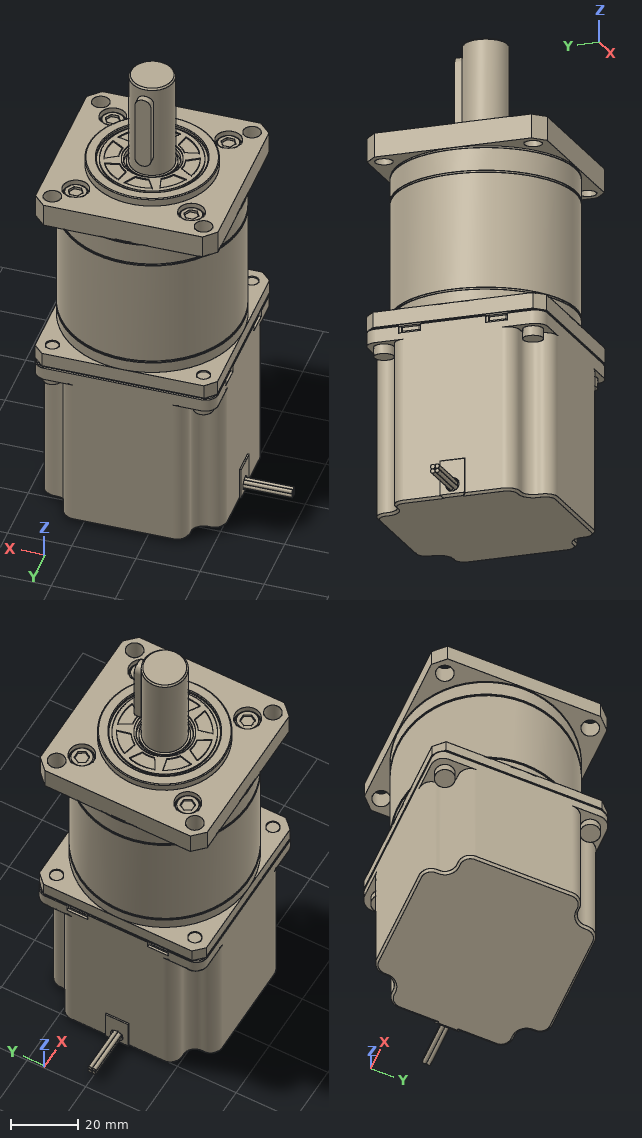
import cadquery as cq
import math

WIDTH = 57.0
HALF = WIDTH / 2
TOTAL_HEIGHT = 151.65
EPS = 0.2

MOTOR_COVER_TOP = 11.5
MOTOR_FLANGE_BOTTOM = 51.5
MOTOR_FLANGE_TOP = 56.0
ADAPTER_BOTTOM = 56.3
ADAPTER_TOP = 61.2
LOWER_RING_TOP = 65.1
UPPER_RING_BOTTOM = 101.95
FRONT_FLANGE_BOTTOM = 110.0
FRONT_FLANGE_TOP = 117.6
PILOT_TOP = 120.3

MOTOR_HOLE_OFFSET = 23.57
MOTOR_CORNER_RADIUS = 4.0
MOTOR_FACE_HALF = 15.7
MOTOR_EDGE_CHAMFER = 0.75
MOTOR_FLANGE_CHAMFER = 0.3
BOLT_HEAD_DIAMETER = 6.2
BOLT_HEAD_HEIGHT = 3.0
WINDOW_OFFSET = 13.75
WINDOW_WIDTH = 7.0
WINDOW_HEIGHT = 2.4
WINDOW_DEPTH = 0.8
WINDOW_RIM = 0.7

CABLE_TIP_X = -44.0
CABLE_Z = 3.65
CABLE_PAD_WIDTH = 7.8
CABLE_PAD_THICKNESS = 0.5
CABLE_HOLE_DIAMETER = 4.2
CABLE_HOLE_DEPTH = 1.0
WIRE_DIAMETER = 1.4
WIRE_OFFSET = 0.68

SEAM_HEIGHT = 0.6
SEAM_DEPTH = 0.2
SPACER_INSET = 0.3
ADAPTER_CORNER = 3.2
BOLT_TIP_DIAMETER = 4.2
BOLT_TIP_RECESS = 0.5
FRONT_CORNER = 3.7
MOUNT_HOLE_DIAMETER = 5.5
SCREW_OFFSET = 18.05
SCREW_BORE_DIAMETER = 8.2
SCREW_BORE_DEPTH = 2.0
SCREW_HEAD_DIAMETER = 7.4
SCREW_HEAD_CHAMFER = 0.4
SCREW_HEAD_HEIGHT = 1.0
SOCKET_SIDES = 6
SOCKET_ACROSS_CORNERS = 4.6
SOCKET_DEPTH = 0.8

PILOT_RADIUS = 20.0
PILOT_CHAMFER = 0.3
COVER_SEAT_RADIUS = 16.6
COVER_RADIUS = 15.7
COVER_GROOVE_DEPTH = 1.0
COVER_RECESS = 0.4
COVER_SEAT_CHAMFER = 0.3
POCKET_COUNT = 8
POCKET_OUTER_RADIUS = 14.3
POCKET_INNER_RADIUS = 10.0
POCKET_OUTER_ANGLE = 18.0
POCKET_INNER_ANGLE = 12.0
POCKET_DEPTH = 0.4
HUB_LEDGE_RADIUS = 9.2
HUB_LEDGE_DEPTH = 0.4
HUB_WELL_RADIUS = 8.5
HUB_WELL_DEPTH = 2.0
HUB_LIP_RADIUS = 7.7
HUB_LIP_HEIGHT = 1.0

SHAFT_RADIUS = 7.0
SHAFT_CHAMFER = 0.5
KEY_WIDTH = 5.0
KEY_LENGTH = 25.0
KEY_TOP = 148.7
KEY_CREST = 9.0
KEY_DEPTH = 5.0


def disc(radius, bottom, top):
    return cq.Workplane("XY").workplane(offset=bottom).circle(radius).extrude(top - bottom)


def square_plate(bottom, top, width=WIDTH):
    return cq.Workplane("XY").workplane(offset=bottom).rect(width, width).extrude(top - bottom)


def ring_cutter(outer, inner, bottom, top):
    return disc(outer, bottom, top).cut(disc(inner, bottom, top))


def at_corners(offset, shape):
    """Place a copy of shape at the four corners of a square centred on the axis."""
    group = None
    for sx in (-1, 1):
        for sy in (-1, 1):
            copy = shape.translate((sx * offset, sy * offset, 0))
            group = copy if group is None else group.union(copy)
    return group


def motor_section(height):
    """Square column whose corners have a concave bolt channel between two round ribs."""
    rib = MOTOR_CORNER_RADIUS
    rib_end = MOTOR_FACE_HALF + rib
    shoulder = HALF - rib
    channel = MOTOR_HOLE_OFFSET - rib_end
    diagonal = math.sqrt(0.5)
    rib_bulge = rib * diagonal
    channel_mid = MOTOR_HOLE_OFFSET - channel * diagonal
    quarter = (
        cq.Workplane("XY").moveTo(0, 0).lineTo(HALF, 0).lineTo(HALF, MOTOR_FACE_HALF)
        .threePointArc((shoulder + rib_bulge, MOTOR_FACE_HALF + rib_bulge), (shoulder, rib_end))
        .lineTo(MOTOR_HOLE_OFFSET, rib_end)
        .threePointArc((channel_mid, channel_mid), (rib_end, MOTOR_HOLE_OFFSET))
        .lineTo(rib_end, shoulder)
        .threePointArc((MOTOR_FACE_HALF + rib_bulge, shoulder + rib_bulge), (MOTOR_FACE_HALF, HALF))
        .lineTo(0, HALF).close().extrude(height)
    )
    column = quarter
    for turn in (90, 180, 270):
        column = column.union(quarter.rotate((0, 0, 0), (0, 0, 1), turn))
    return column.clean()


def make_motor():
    column = motor_section(MOTOR_FLANGE_BOTTOM + EPS)
    pad = cq.Workplane("XY").box(
        HALF + CABLE_PAD_THICKNESS, CABLE_PAD_WIDTH, MOTOR_COVER_TOP, centered=(False, True, False)
    ).translate((-HALF - CABLE_PAD_THICKNESS, 0, 0))
    column = column.union(pad).faces("<Z").edges().chamfer(MOTOR_EDGE_CHAMFER)
    flange = square_plate(MOTOR_FLANGE_BOTTOM, MOTOR_FLANGE_TOP).edges("|Z").fillet(MOTOR_CORNER_RADIUS)
    flange = flange.faces(">Z").edges().chamfer(MOTOR_FLANGE_CHAMFER)
    head = disc(BOLT_HEAD_DIAMETER / 2, MOTOR_FLANGE_BOTTOM - BOLT_HEAD_HEIGHT, MOTOR_FLANGE_BOTTOM + EPS)
    motor = column.union(flange).union(at_corners(MOTOR_HOLE_OFFSET, head))
    for side in (-1, 1):
        motor = cut_window(motor, side * WINDOW_OFFSET)
    return motor


def cut_window(motor, y):
    """Shallow notch in the flange's -X edge with a deeper, narrower notch inside it."""
    for inset, depth in ((0, WINDOW_DEPTH), (WINDOW_RIM, 2 * WINDOW_DEPTH)):
        notch = cq.Workplane("XY").box(
            depth, WINDOW_WIDTH - 2 * inset, WINDOW_HEIGHT - inset, centered=(False, True, False)
        ).translate((-HALF, y, MOTOR_FLANGE_TOP - WINDOW_HEIGHT + inset))
        motor = motor.cut(notch)
    return motor


def add_cable(motor):
    """Four parallel wires leaving a round hole in the cable pad."""
    pad_x = -HALF - CABLE_PAD_THICKNESS
    hole_bottom_x = pad_x + CABLE_HOLE_DEPTH
    hole = (
        cq.Workplane("YZ").workplane(offset=pad_x).center(0, CABLE_Z)
        .circle(CABLE_HOLE_DIAMETER / 2).extrude(CABLE_HOLE_DEPTH)
    )
    motor = motor.cut(hole)
    for sy in (-1, 1):
        for sz in (-1, 1):
            wire = (
                cq.Workplane("YZ").workplane(offset=CABLE_TIP_X)
                .center(sy * WIRE_OFFSET, CABLE_Z + sz * WIRE_OFFSET)
                .circle(WIRE_DIAMETER / 2).extrude(hole_bottom_x + EPS - CABLE_TIP_X)
            )
            motor = motor.union(wire)
    return motor


def make_adapter():
    """Plate between motor and gearbox, with the motor bolt tips just below its top face."""
    spacer = square_plate(
        MOTOR_FLANGE_TOP - EPS, ADAPTER_BOTTOM + EPS, WIDTH - 2 * SPACER_INSET
    ).edges("|Z").chamfer(ADAPTER_CORNER)
    plate = square_plate(ADAPTER_BOTTOM, ADAPTER_TOP).edges("|Z").chamfer(ADAPTER_CORNER)
    tip_recess = disc(BOLT_TIP_DIAMETER / 2, ADAPTER_TOP - BOLT_TIP_RECESS, ADAPTER_TOP)
    return plate.cut(at_corners(MOTOR_HOLE_OFFSET, tip_recess)).union(spacer)


def make_housing():
    """Round gear housing with shallow grooves where its sections meet."""
    housing = disc(HALF, ADAPTER_TOP - EPS, FRONT_FLANGE_BOTTOM + EPS)
    seam_centres = (LOWER_RING_TOP, UPPER_RING_BOTTOM, FRONT_FLANGE_BOTTOM - SEAM_HEIGHT / 2)
    for z in seam_centres:
        seam = ring_cutter(HALF, HALF - SEAM_DEPTH, z - SEAM_HEIGHT / 2, z + SEAM_HEIGHT / 2)
        housing = housing.cut(seam)
    return housing


def make_front_flange():
    flange = square_plate(FRONT_FLANGE_BOTTOM, FRONT_FLANGE_TOP).edges("|Z").chamfer(FRONT_CORNER)
    hole = disc(MOUNT_HOLE_DIAMETER / 2, FRONT_FLANGE_BOTTOM, FRONT_FLANGE_TOP)
    bore_floor = FRONT_FLANGE_TOP - SCREW_BORE_DEPTH
    bore = disc(SCREW_BORE_DIAMETER / 2, bore_floor, FRONT_FLANGE_TOP)
    head_top = bore_floor + SCREW_HEAD_HEIGHT
    socket = (
        cq.Workplane("XY").workplane(offset=head_top - SOCKET_DEPTH)
        .polygon(SOCKET_SIDES, SOCKET_ACROSS_CORNERS).extrude(SOCKET_DEPTH)
    )
    head = disc(SCREW_HEAD_DIAMETER / 2, bore_floor - EPS, head_top)
    head = head.faces(">Z").edges().chamfer(SCREW_HEAD_CHAMFER).cut(socket)
    flange = flange.cut(at_corners(MOTOR_HOLE_OFFSET, hole))
    flange = flange.cut(at_corners(SCREW_OFFSET, bore))
    return flange.union(at_corners(SCREW_OFFSET, head))


def polar(radius, degrees):
    angle = math.radians(degrees)
    return (radius * math.cos(angle), radius * math.sin(angle))


def cover_pocket(floor, top):
    """Tapered pocket centred on +X, bounded by two arcs about the axis."""
    return (
        cq.Workplane("XY").workplane(offset=floor)
        .moveTo(*polar(POCKET_INNER_RADIUS, -POCKET_INNER_ANGLE))
        .lineTo(*polar(POCKET_OUTER_RADIUS, -POCKET_OUTER_ANGLE))
        .threePointArc((POCKET_OUTER_RADIUS, 0), polar(POCKET_OUTER_RADIUS, POCKET_OUTER_ANGLE))
        .lineTo(*polar(POCKET_INNER_RADIUS, POCKET_INNER_ANGLE))
        .threePointArc((POCKET_INNER_RADIUS, 0), polar(POCKET_INNER_RADIUS, -POCKET_INNER_ANGLE))
        .close().extrude(top - floor)
    )


def make_pilot():
    """Raised pilot holding the sunken bearing cover with spokes and a stepped well around the shaft."""
    pilot = disc(PILOT_RADIUS, FRONT_FLANGE_TOP - EPS, PILOT_TOP).faces(">Z").edges().chamfer(PILOT_CHAMFER)
    cover_top = PILOT_TOP - COVER_RECESS
    groove_floor = PILOT_TOP - COVER_GROOVE_DEPTH
    seat = disc(COVER_SEAT_RADIUS, groove_floor, PILOT_TOP)
    pilot = pilot.cut(seat).faces(">Z").edges(cq.selectors.RadiusNthSelector(0))
    pilot = pilot.chamfer(COVER_SEAT_CHAMFER)
    pilot = pilot.union(disc(COVER_RADIUS, groove_floor - EPS, cover_top))
    pocket = cover_pocket(cover_top - POCKET_DEPTH, cover_top)
    for index in range(POCKET_COUNT):
        pilot = pilot.cut(pocket.rotate((0, 0, 0), (0, 0, 1), index * 360 / POCKET_COUNT))
    pilot = pilot.cut(disc(HUB_LEDGE_RADIUS, cover_top - HUB_LEDGE_DEPTH, cover_top))
    well_floor = cover_top - HUB_WELL_DEPTH
    pilot = pilot.cut(disc(HUB_WELL_RADIUS, well_floor, cover_top))
    return pilot.union(disc(HUB_LIP_RADIUS, well_floor - EPS, well_floor + HUB_LIP_HEIGHT))


def make_shaft():
    shaft = disc(SHAFT_RADIUS, FRONT_FLANGE_TOP, TOTAL_HEIGHT).faces(">Z").edges().chamfer(SHAFT_CHAMFER)
    key = (
        cq.Workplane("XZ").workplane(offset=-KEY_CREST).center(0, KEY_TOP - KEY_LENGTH / 2)
        .slot2D(KEY_LENGTH, KEY_WIDTH, 90).extrude(KEY_DEPTH)
    )
    return shaft.union(key)


result = add_cable(make_motor())
for section in (make_adapter(), make_housing(), make_front_flange(), make_pilot(), make_shaft()):
    result = result.union(section)